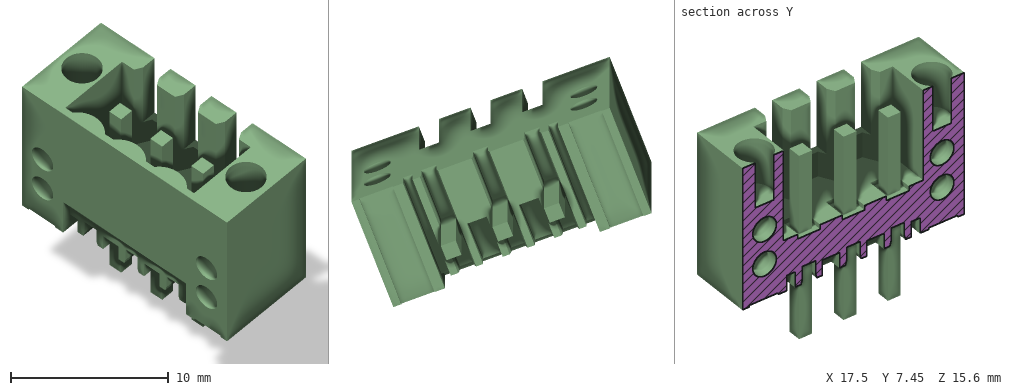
import cadquery as cq

housing_width = 17.5
housing_depth = 7.45
total_height = 15.55
pin_projection = 4.5
housing_height = total_height - pin_projection

pin_count = 3
pin_pitch = 3.5
pin_size = 1.02
pin_y = 3.5
pin_top_gap = 1.28
pin_columns = [(i - (pin_count - 1) / 2) * pin_pitch for i in range(pin_count)]
gap_columns = [(left + right) / 2 for left, right in zip(pin_columns, pin_columns[1:])]

cavity_width = 10.99
cavity_depth = 7.0
cavity_front_y = 0.49
cavity_back_y = 5.85
cavity_floor_z = housing_height - cavity_depth
scallop_chord = 2.76
scallop_rise = 0.66
key_back_y = 6.91
key_mouth_width = 1.96
key_back_width = 0.77
window_width = 1.36
window_depth = 5.08
pin_recess_size = 1.75
pin_recess_depth = 0.35

end_hole_inset = 1.75
end_hole_x = housing_width / 2 - end_hole_inset
screw_hole_diameter = 2.62
screw_hole_depth = 3.5
cross_hole_diameter = 1.82
cross_hole_heights = [2.85, 5.55]
foot_groove_width = 2.25
foot_groove_height = 0.12
foot_groove_inset = 0.55
foot_groove_x = housing_width / 2 - foot_groove_inset - foot_groove_width / 2

front_recess_width = 10.5
front_recess_height = 2.85
front_recess_depth = 0.65
edge_slot_width = 0.65
edge_slot_height = 1.19
edge_slot_x = (front_recess_width - edge_slot_width) / 2
gap_slot_width = 1.33
gap_slot_height = edge_slot_height
pin_slot_height = 1.36
pin_slot_flare = 0.1
pin_slot_flare_height = 0.35


def block(x_center, width, y_start, y_end, z_start, z_end):
    """Box centred on x_center, spanning the given Y and Z ranges."""
    return cq.Workplane("XY").box(
        width, y_end - y_start, z_end - z_start, centered=(True, False, False)
    ).translate((x_center, y_start, z_start))


def make_pin(x):
    """Straight square contact pin, running through the housing floor."""
    return block(
        x, pin_size,
        pin_y - pin_size / 2, pin_y + pin_size / 2,
        -pin_projection, housing_height - pin_top_gap,
    )


def make_cavity():
    """Mating cavity: scalloped front wall and one tapered key groove per pin in the back wall."""
    half_width = cavity_width / 2
    outline = cq.Workplane("XY").workplane(offset=cavity_floor_z).moveTo(-half_width, cavity_front_y)
    for x in pin_columns:
        outline = outline.lineTo(x - scallop_chord / 2, cavity_front_y).threePointArc(
            (x, cavity_front_y + scallop_rise), (x + scallop_chord / 2, cavity_front_y)
        )
    outline = outline.lineTo(half_width, cavity_front_y).lineTo(half_width, cavity_back_y)
    for x in reversed(pin_columns):
        outline = (
            outline.lineTo(x + key_mouth_width / 2, cavity_back_y)
            .lineTo(x + key_back_width / 2, key_back_y)
            .lineTo(x - key_back_width / 2, key_back_y)
            .lineTo(x - key_mouth_width / 2, cavity_back_y)
        )
    return outline.lineTo(-half_width, cavity_back_y).close().extrude(cavity_depth)


def make_window(x):
    """Slot through the back wall, open at the top, behind one pin."""
    return block(
        x, window_width, cavity_back_y, housing_depth,
        housing_height - window_depth, housing_height,
    )


def make_pin_recess(x):
    """Shallow square recess around one pin in the cavity floor."""
    return block(
        x, pin_recess_size,
        pin_y - pin_recess_size / 2, pin_y + pin_recess_size / 2,
        cavity_floor_z - pin_recess_depth, cavity_floor_z,
    )


def make_pin_slot(x):
    """Front-to-back slot in the underside, as wide as a pin and flared at its mouth."""
    half_slot = pin_size / 2
    half_mouth = half_slot + pin_slot_flare
    return (
        cq.Workplane("XZ")
        .polyline([
            (x - half_mouth, 0),
            (x - half_slot, pin_slot_flare_height),
            (x - half_slot, pin_slot_height),
            (x + half_slot, pin_slot_height),
            (x + half_slot, pin_slot_flare_height),
            (x + half_mouth, 0),
        ])
        .close()
        .extrude(-housing_depth)
    )


def make_screw_hole(x):
    """Blind vertical hole in the top of one fixing end."""
    return (
        cq.Workplane("XY")
        .workplane(offset=housing_height - screw_hole_depth)
        .center(x, housing_depth / 2)
        .circle(screw_hole_diameter / 2)
        .extrude(screw_hole_depth)
    )


def make_cross_holes(x):
    """Front-to-back through holes of one fixing end."""
    return (
        cq.Workplane("XZ")
        .pushPoints([(x, z) for z in cross_hole_heights])
        .circle(cross_hole_diameter / 2)
        .extrude(-housing_depth)
    )


def make_housing(pins):
    """Housing with its cavity, fixing ends, slotted underside and a fitted hole for each pin."""
    body = block(0, housing_width, 0, housing_depth, 0, housing_height)
    body = body.cut(make_cavity())
    body = body.cut(block(0, front_recess_width, 0, front_recess_depth, 0, front_recess_height))

    for x in pin_columns:
        body = body.cut(make_window(x))
        body = body.cut(make_pin_recess(x))
        body = body.cut(make_pin_slot(x))

    for x in gap_columns:
        body = body.cut(block(x, gap_slot_width, 0, pin_y, 0, gap_slot_height))

    for side in (-1, 1):
        body = body.cut(make_screw_hole(side * end_hole_x))
        body = body.cut(make_cross_holes(side * end_hole_x))
        body = body.cut(
            block(side * foot_groove_x, foot_groove_width, 0, housing_depth, 0, foot_groove_height)
        )
        body = body.cut(
            block(side * edge_slot_x, edge_slot_width, 0, housing_depth, 0, edge_slot_height)
        )

    for pin in pins:
        body = body.cut(pin)
    return body


pins = [make_pin(x) for x in pin_columns]
housing = make_housing(pins)

result = cq.Compound.makeCompound([housing.solids().val(), *[pin.val() for pin in pins]])